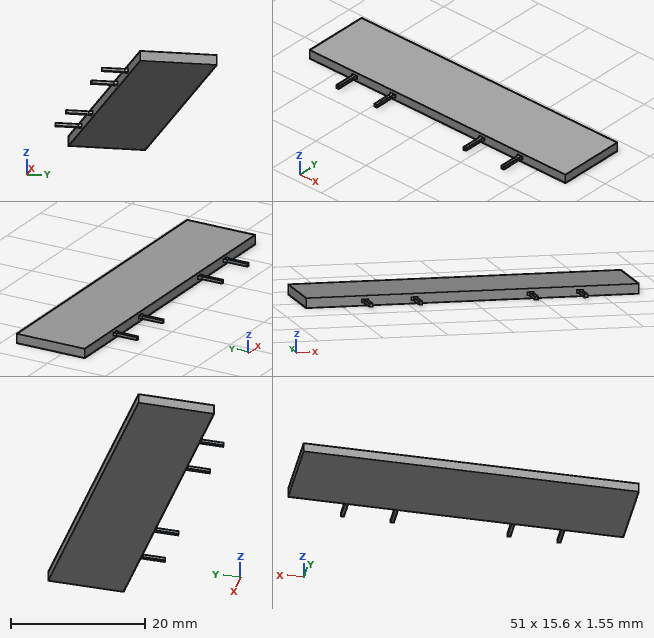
import cadquery as cq

plate_length = 51.05
plate_depth = 11.7
plate_thickness = 1.55

pin_length = 3.95
pin_width = 0.5
pin_thickness = 0.45
root_width = 1.0
flare_length = 0.5

inner_pin_offset = 8.9
outer_pin_offset = 16.5


def make_plate():
    return cq.Workplane("XY").box(
        plate_length, plate_depth, plate_thickness, centered=(True, False, True)
    )


def make_pin(x_position):
    """Pin pointing along -Y, tapering from its root to a constant width."""
    outline = [
        (-root_width / 2, 0),
        (-pin_width / 2, -flare_length),
        (-pin_width / 2, -pin_length),
        (pin_width / 2, -pin_length),
        (pin_width / 2, -flare_length),
        (root_width / 2, 0),
    ]
    pin = cq.Workplane("XY").polyline(outline).close().extrude(pin_thickness / 2, both=True)
    return pin.translate((x_position, 0, 0))


result = make_plate()
for offset in (inner_pin_offset, outer_pin_offset):
    for side in (-1, 1):
        result = result.union(make_pin(side * offset))